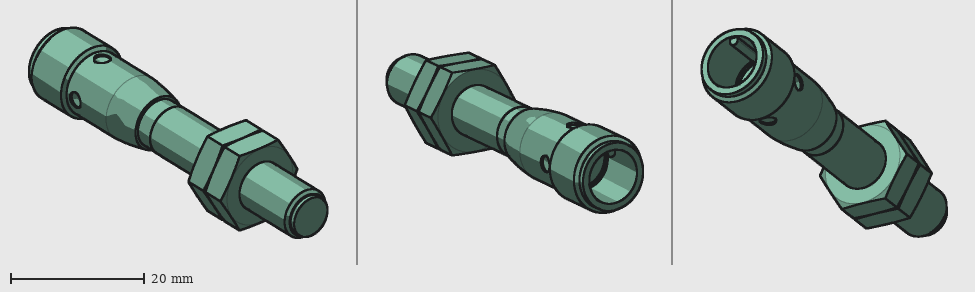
import cadquery as cq
import math

length = 60.0
nose_diameter = 10.6
nose_length = 1.0
collar_diameter = 12.0
collar_end = 8.9
collar_chamfer = 0.5
taper_start = 18.2
taper_end = 24.05
taper_end_diameter = 8.9
taper_bulge = 0.1
neck_diameter = 7.9
neck_end = 26.95
thread_diameter = 8.0
thread_chamfer_diameter = 6.9
tip_diameter = 6.55
tip_length = 0.85

socket_mouth_diameter = 8.4
socket_floor_diameter = 7.9
socket_mouth_depth = 8.4
socket_depth = 9.0
key_setback = 0.5
key_radius = 0.65
key_center_height = 3.65

dimple_count = 4
dimple_x = 10.9
dimple_diameter = 2.5
dimple_wall_depth = 0.35
cone_point_angle = 150.0

nut_count = 2
nut_start = 39.95
nut_thickness = 4.0
nut_across_flats = 13.0
nut_face_diameter = 12.85
nut_chamfer_depth = 0.25


def make_outer_shape():
    """Turned outside of the sensor body, revolved about X."""
    nose_radius = nose_diameter / 2
    collar_radius = collar_diameter / 2
    taper_end_radius = taper_end_diameter / 2
    thread_radius = thread_diameter / 2
    tip_radius = tip_diameter / 2
    tip_start = length - tip_length
    chamfer_radius = thread_chamfer_diameter / 2
    thread_end = tip_start - (thread_radius - chamfer_radius)
    taper_middle = (
        (taper_start + taper_end) / 2,
        (nose_radius + taper_end_radius) / 2 + taper_bulge,
    )
    profile = (
        cq.Workplane("XY")
        .lineTo(0, nose_radius)
        .lineTo(nose_length, nose_radius)
        .lineTo(nose_length + collar_chamfer, collar_radius)
        .lineTo(collar_end - collar_chamfer, collar_radius)
        .lineTo(collar_end, nose_radius)
        .lineTo(taper_start, nose_radius)
        .threePointArc(taper_middle, (taper_end, taper_end_radius))
        .lineTo(taper_end, neck_diameter / 2)
        .lineTo(neck_end, neck_diameter / 2)
        .lineTo(neck_end, thread_radius)
        .lineTo(thread_end, thread_radius)
        .lineTo(tip_start, chamfer_radius)
        .lineTo(tip_start, tip_radius)
        .lineTo(length, tip_radius)
        .lineTo(length, 0)
        .close()
    )
    return profile.revolve(360, (0, 0, 0), (1, 0, 0))


def make_socket():
    """Stepped blind socket, less the round-nosed key along its top."""
    socket = (
        cq.Workplane("XY")
        .lineTo(0, socket_mouth_diameter / 2)
        .lineTo(socket_mouth_depth, socket_mouth_diameter / 2)
        .lineTo(socket_mouth_depth, socket_floor_diameter / 2)
        .lineTo(socket_depth, socket_floor_diameter / 2)
        .lineTo(socket_depth, 0)
        .close()
        .revolve(360, (0, 0, 0), (1, 0, 0))
    )
    key_top = socket_mouth_diameter / 2
    key = (
        cq.Workplane("YZ", origin=(key_setback, 0, 0))
        .moveTo(-key_radius, key_top)
        .lineTo(-key_radius, key_center_height)
        .threePointArc((0, key_center_height - key_radius), (key_radius, key_center_height))
        .lineTo(key_radius, key_top)
        .close()
        .extrude(socket_mouth_depth - key_setback)
    )
    return socket.cut(key)


def make_dimple(angle):
    """Round dimple cutter with a shallow cone point, turned about X from the +Z side."""
    radius = dimple_diameter / 2
    barrel_radius = nose_diameter / 2
    wall_bottom = barrel_radius - dimple_wall_depth
    point_depth = radius / math.tan(math.radians(cone_point_angle / 2))
    return (
        cq.Workplane("XZ")
        .moveTo(dimple_x, barrel_radius)
        .lineTo(dimple_x + radius, barrel_radius)
        .lineTo(dimple_x + radius, wall_bottom)
        .lineTo(dimple_x, wall_bottom - point_depth)
        .close()
        .revolve(360, (dimple_x, 0, 0), (dimple_x, 1, 0))
        .rotate((0, 0, 0), (1, 0, 0), angle)
    )


def make_body():
    body = make_outer_shape().cut(make_socket())
    for index in range(dimple_count):
        body = body.cut(make_dimple(index * 360 / dimple_count))
    return body


def make_nut(start):
    """Hexagon nut with flats facing +Z and -Z and its corners chamfered on both faces."""
    corner_radius = nut_across_flats / math.sqrt(3)
    face_radius = nut_face_diameter / 2
    end = start + nut_thickness
    hexagon = (
        cq.Workplane("YZ", origin=(start, 0, 0))
        .polygon(6, 2 * corner_radius)
        .circle(thread_diameter / 2)
        .extrude(nut_thickness)
    )
    chamfer_envelope = (
        cq.Workplane("XY")
        .moveTo(start, 0)
        .lineTo(start, face_radius)
        .lineTo(start + nut_chamfer_depth, corner_radius)
        .lineTo(end - nut_chamfer_depth, corner_radius)
        .lineTo(end, face_radius)
        .lineTo(end, 0)
        .close()
        .revolve(360, (0, 0, 0), (1, 0, 0))
    )
    return hexagon.intersect(chamfer_envelope)


body = make_body()
nuts = [make_nut(nut_start + index * nut_thickness) for index in range(nut_count)]

result = cq.Compound.makeCompound([body.val(), *[nut.val() for nut in nuts]])